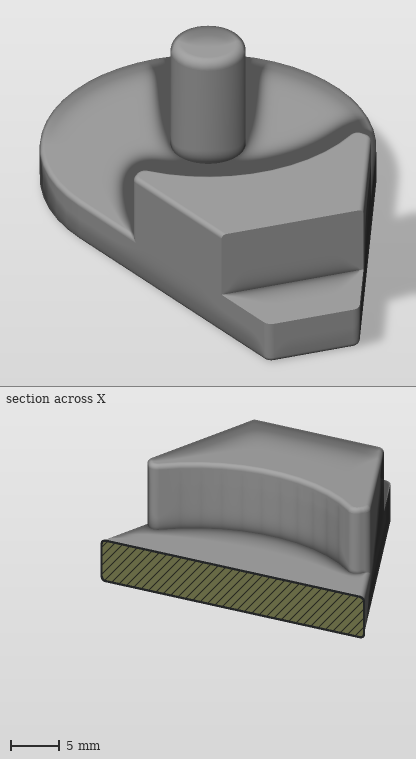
import cadquery as cq
import math

disc_radius = 17.5
plate_thickness = 4.7
tip_x = 35.0
tip_half_width = 5.0
tip_corner_radius = 1.0
edge_fillet = 0.5

pin_diameter = 7.8
pin_height = 12.5
pin_top_fillet = 1.0

block_height = 7.4
block_back_x = 28.0
block_side_end_x = 15.1
hollow_half_width = 11.0
horn_radius = 1.0

tip_distance = math.hypot(tip_x, tip_half_width)
side_angle = math.atan2(tip_half_width, tip_x) + math.acos(disc_radius / tip_distance)
normal_x = math.cos(side_angle)
normal_y = math.sin(side_angle)


def side_y(x):
    """Half width of the tapered part at a given x."""
    return (disc_radius - x * normal_x) / normal_y


def mirrored(point):
    return (point[0], -point[1])


def polar_point(center, radius, angle):
    return (center[0] + radius * math.cos(angle), center[1] + radius * math.sin(angle))


def make_plate_blank():
    """Plate with rounded tip corners and a filleted bottom rim."""
    tangent = (disc_radius * normal_x, disc_radius * normal_y)
    tip_corner = (tip_x, tip_half_width)
    blank = (
        cq.Workplane("XY")
        .moveTo(*tangent)
        .threePointArc((-disc_radius, 0), mirrored(tangent))
        .lineTo(*mirrored(tip_corner))
        .lineTo(*tip_corner)
        .close()
        .extrude(plate_thickness)
    )
    blank = blank.edges("|Z and >X").fillet(tip_corner_radius)
    return blank.faces("<Z").edges().fillet(edge_fillet)


def make_block_outline():
    """Closed outline of the block, with its hollow concentric with the disc."""
    side_end = (block_side_end_x, side_y(block_side_end_x))
    outer_center = (
        side_end[0] - horn_radius * normal_x,
        side_end[1] - horn_radius * normal_y,
    )

    hollow_angle = math.asin(hollow_half_width / disc_radius)
    hollow_end = polar_point((0, 0), disc_radius, hollow_angle)
    inner_center = polar_point((0, 0), disc_radius + horn_radius, hollow_angle)

    center_angle = math.atan2(
        outer_center[1] - inner_center[1],
        outer_center[0] - inner_center[0],
    )
    flat_normal = center_angle + math.pi / 2
    flat_start = polar_point(outer_center, horn_radius, flat_normal)
    flat_end = polar_point(inner_center, horn_radius, flat_normal)

    outer_mid = polar_point(outer_center, horn_radius, (side_angle + flat_normal) / 2)
    inner_mid = polar_point(inner_center, horn_radius, (flat_normal + hollow_angle + math.pi) / 2)
    back_corner = (block_back_x, side_y(block_back_x))

    return (
        cq.Workplane("XY")
        .moveTo(*back_corner)
        .lineTo(*side_end)
        .threePointArc(outer_mid, flat_start)
        .lineTo(*flat_end)
        .threePointArc(inner_mid, hollow_end)
        .threePointArc((disc_radius, 0), mirrored(hollow_end))
        .threePointArc(mirrored(inner_mid), mirrored(flat_end))
        .lineTo(*mirrored(flat_start))
        .threePointArc(mirrored(outer_mid), mirrored(side_end))
        .lineTo(*mirrored(back_corner))
        .close()
    )


def make_block():
    """Block reaching down to the bottom fillet, its top rounded except along the back."""
    block = (
        make_block_outline()
        .extrude(plate_thickness + block_height - edge_fillet)
        .translate((0, 0, edge_fillet))
    )
    return block.faces(">Z").edges("not >X").fillet(edge_fillet)


def make_pin():
    pin = cq.Workplane("XY").circle(pin_diameter / 2).extrude(plate_thickness + pin_height)
    return pin.faces(">Z").edges().fillet(pin_top_fillet)


def make_plate():
    """Plate with its top rim filleted up to the block; the tip keeps a sharp top edge."""
    blank = make_plate_blank()
    tip_length = tip_x - block_back_x
    tip = blank.intersect(
        cq.Workplane("XY")
        .box(tip_length, 2 * disc_radius, plate_thickness, centered=(False, True, False))
        .translate((block_back_x, 0, 0))
    )
    return blank.faces(">Z").edges().fillet(edge_fillet).union(tip)


result = make_plate().union(make_block()).union(make_pin())